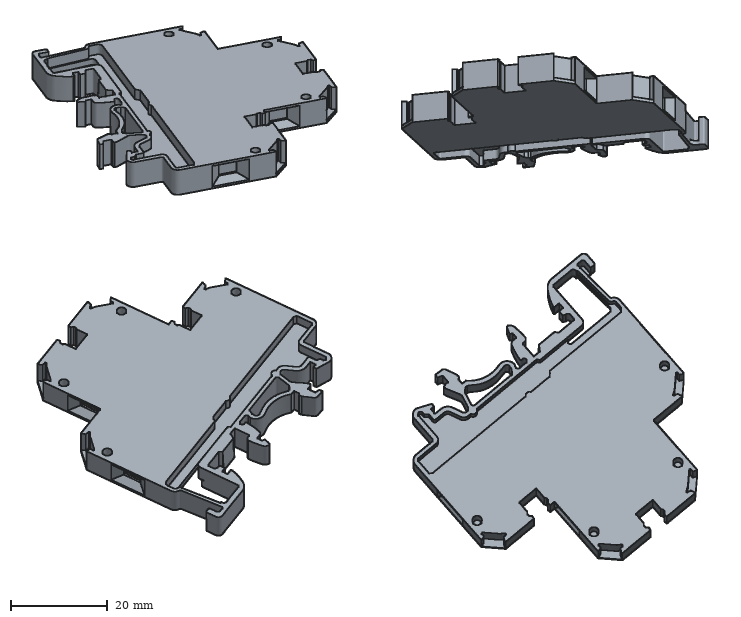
import cadquery as cq

LENGTH = 56.0
HEIGHT = 54.0
THICKNESS = 5.95

BODY_LEFT = 1.1
BODY_RIGHT = LENGTH
BODY_TOP = 36.55
TOWER_LEFT = 12.35
TOWER_RIGHT = 39.2
CORNER_CUT = 3.55

SOFFIT = 10.2
RIGHT_SOFFIT = 10.4

NOTCH_WIDTH = 4.6
NOTCH_DEPTH = 4.6
NOTCH_LIP = 0.1
NOTCH_LIP_TAPER = 0.1
NOTCH_LIP_BOTTOM = -0.7
NOTCH_GROOVE = 0.3
GROOVE_TOP = -1.05
GROOVE_BOTTOM = -1.65
GROOVE_RAMP_END = -2.0
TOWER_NOTCH_X = 25.8
BODY_NOTCH_X = 42.55

SLOT_FLOOR = 0.72
SLOT_DEPTH = 1.67
SLOT_LAND = 0.1
SLOT_HALF_MOUTH = CORNER_CUT / 2**0.5 - SLOT_LAND
SLOT_PROFILE = [
    (SLOT_HALF_MOUTH, 0),
    (2.0, -0.95),
    (2.5, -1.68),
    (2.25, -1.9),
    (1.25, -SLOT_DEPTH),
    (-2.45, -SLOT_DEPTH),
    (-2.6, -1.4),
    (-2.05, -0.9),
    (-SLOT_HALF_MOUTH, 0),
]

HOLE_DIAMETER = 2.0
HOLE_FLOOR_DIAMETER = 1.7
HOLE_DEPTH = 3.0
HOLE_INSET = 2.05
HOLE_DROP = 7.3

FUNNEL_DROP = 13.55
FUNNEL_WIDTH = 8.1
FUNNEL_BOTTOM = 0.5
FUNNEL_TOP = 5.4
FUNNEL_DEPTH = 1.65
THROAT_WIDTH = 4.0
THROAT_BOTTOM = 1.75
THROAT_TOP = 5.0
THROAT_DEPTH = 0.5

RECESS_DEPTH = 2.38
WEB_THICKNESS = 1.4
WEB_TOP = THICKNESS - RECESS_DEPTH
WEB_BOTTOM = WEB_TOP - WEB_THICKNESS

LEG_TOP = (2.3, 10.75)
LEG_BASE = (2.92, 1.4)
LEG_FILLET_Y = 4.63
LEG_LEAN = (LEG_TOP[0] - LEG_BASE[0]) / (LEG_TOP[1] - LEG_BASE[1])
LEG_FILLET_TOP = (LEG_BASE[0] + LEG_LEAN * (LEG_FILLET_Y - LEG_BASE[1]), LEG_FILLET_Y)

WINDOW_BOTTOM = 1.25
WINDOW_RIGHT = 9.67
WINDOW_CORNER = 1.0
RIM_TOP = 11.65
RIM_END = 21.95
RIM_STEP = 0.8

HOOK_FLOOR = 0.9
PAD_LEFT = 15.75
PAD_RIGHT = 19.95
PAD_TOP_Y = 9.0
PAD_DRAFT = 0.28


def trace(start, segments):
    """Closed wire: a plain point is a line end, a (middle, end) pair is an arc."""
    path = cq.Workplane("XY").moveTo(*start)
    for first, second in segments:
        if isinstance(first, tuple):
            path = path.threePointArc(first, second)
        else:
            path = path.lineTo(first, second)
    return path.close()


def prism(start, segments, bottom, top):
    """Upright solid over a traced outline."""
    return trace(start, segments).extrude(top - bottom).translate((0, 0, bottom))


def housing():
    """Full-thickness profile of housing, feet and spring clip."""
    leg_and_hook = [
        (BODY_LEFT, 12.6),
        ((1.35, 11.75), (2.05, 11.13)),
        ((2.2, 11.0), LEG_TOP),
        LEG_FILLET_TOP,
        ((2.35, 3.8), (1.7, 3.45)),
        (0.35, 3.45),
        ((0.1, 3.35), (0.0, 3.1)),
        (0.0, 1.0),
        ((0.3, 0.3), (1.0, 0.0)),
        (9.1, 0.0),
    ]
    left_jaw = [
        ((10.2, 0.4), (10.95, 1.2)),
        ((11.8, 2.75), (12.45, 4.6)),
        (12.4, 5.0),
        (11.1, 5.0),
        (11.1, 6.27),
        (12.2, 6.27),
        (12.2, 7.45),
        (11.55, 7.7),
        ((11.1, 7.85), (10.9, 8.2)),
        (10.9, 9.4),
        ((10.98, 9.6), (11.2, 9.68)),
        (15.2, 9.68),
        (PAD_LEFT, PAD_TOP_Y),
        (PAD_RIGHT, PAD_TOP_Y),
        (20.7, SOFFIT),
    ]
    centre_finger = [
        (22.4, SOFFIT),
        (22.4, 6.65),
        (21.85, 6.6),
        ((21.35, 6.45), (21.1, 6.1)),
        (21.1, 5.0),
        (21.3, 3.3),
        ((21.6, 2.3), (22.2, 1.75)),
        (22.55, 1.75),
        (23.1, 3.3),
        (22.55, 3.65),
        (22.55, 4.85),
        (23.55, 4.85),
        ((24.1, 5.1), (24.35, 5.6)),
        ((24.8, 7.3), (25.03, 8.95)),
        ((24.98, 9.08), (24.85, 9.13)),
        (24.5, 9.13),
        ((24.0, 9.66), (24.5, SOFFIT)),
    ]
    spring = [
        (26.2, SOFFIT),
        ((26.6, 10.0), (26.75, 9.6)),
        (26.5, 8.95),
        ((27.1, 7.5), (29.2, 7.0)),
        ((33.3, 6.95), (36.4, 5.05)),
    ]
    right_finger = [
        (37.4, 5.05),
        (37.4, 3.75),
        (37.0, 3.6),
        (37.0, 2.95),
        (38.05, 0.5),
        ((38.35, 0.2), (38.75, 0.1)),
        (40.45, 0.0),
        (40.45, 0.75),
        (39.4, 1.15),
        (39.4, 2.9),
        (40.2, 2.9),
        (40.8, 3.1),
        (40.65, 3.75),
        (39.3, 6.4),
        ((39.15, 6.9), (39.2, 7.4)),
        (39.75, 9.6),
    ]
    right_foot = [
        ((40.6, SOFFIT), (41.4, 9.5)),
        (42.27, 7.53),
        ((43.0, 6.7), (44.3, 6.3)),
        (45.85, 6.3),
        (45.85, 5.0),
        (45.0, 5.0),
        (44.95, 4.25),
        (47.65, 3.1),
        ((49.1, 3.15), (49.75, 4.15)),
        (49.75, 10.1),
        ((49.85, 10.3), (50.05, RIGHT_SOFFIT)),
        (54.5, RIGHT_SOFFIT),
        ((55.56, 10.84), (BODY_RIGHT, 11.9)),
    ]
    stepped_top = [
        (BODY_RIGHT, BODY_TOP - CORNER_CUT),
        (BODY_RIGHT - CORNER_CUT, BODY_TOP),
        (TOWER_RIGHT, BODY_TOP),
        (TOWER_RIGHT, HEIGHT - CORNER_CUT),
        (TOWER_RIGHT - CORNER_CUT, HEIGHT),
        (TOWER_LEFT + CORNER_CUT, HEIGHT),
        (TOWER_LEFT, HEIGHT - CORNER_CUT),
        (TOWER_LEFT, BODY_TOP),
        (BODY_LEFT + CORNER_CUT, BODY_TOP),
    ]
    outline = leg_and_hook + left_jaw + centre_finger + spring
    outline += right_finger + right_foot + stepped_top
    return prism((BODY_LEFT, BODY_TOP - CORNER_CUT), outline, 0, THICKNESS)


def spring_window():
    """Through opening between the housing and the bowed spring."""
    outline = [
        (27.65, 9.35),
        (27.55, 8.4),
        ((27.85, 7.95), (28.6, 7.9)),
        (29.3, 8.0),
        ((33.2, 8.05), (36.25, 6.45)),
        (36.9, 6.1),
        (37.5, 6.1),
        (38.15, 6.75),
        (38.85, 9.6),
        ((38.75, 10.0), (38.3, SOFFIT)),
    ]
    return prism((28.2, SOFFIT), outline, 0, THICKNESS)


def rim_corner(rim_y):
    """Rounded corner from the upright jaw wall onto a rim at the given height."""
    setback = WINDOW_CORNER * (1 - 0.5**0.5)
    middle = (WINDOW_RIGHT + setback, rim_y - setback)
    return middle, (WINDOW_RIGHT + WINDOW_CORNER, rim_y)


def leg_window():
    """Through opening behind the flexible leg, with a tongue running under the web."""
    outline = [
        ((3.5, 12.55), (3.28, 12.0)),
        (4.0, 2.0),
        ((4.15, 1.45), (4.6, WINDOW_BOTTOM)),
        (9.4, WINDOW_BOTTOM),
        ((9.59, 1.33), (WINDOW_RIGHT, 1.52)),
        (WINDOW_RIGHT, RIM_TOP - WINDOW_CORNER),
        rim_corner(RIM_TOP),
        (14.25, RIM_TOP),
        ((14.75, 12.2), (14.25, 12.75)),
    ]
    return prism((4.0, 12.75), outline, 0, THICKNESS)


def rim_step():
    """Lowered part of the jaw rim, below the web."""
    step_y = RIM_TOP - RIM_STEP
    outline = [
        rim_corner(step_y),
        (RIM_END, step_y),
        (RIM_END, RIM_TOP),
        (WINDOW_RIGHT, RIM_TOP),
    ]
    return prism((WINDOW_RIGHT, step_y - WINDOW_CORNER), outline, 0, WEB_BOTTOM)


def face_recess(bottom, top):
    """Long recess along the foot of the housing, reaching down the leg and the right foot."""
    outline = [
        ((2.15, 14.35), (1.95, 13.6)),
        (1.95, 12.4),
        ((2.05, 12.05), (2.35, 11.85)),
        ((2.8, 11.55), (2.98, 11.0)),
        (3.7, 2.15),
        (5.0, 2.15),
        (5.0, RIM_TOP),
        (RIM_END, RIM_TOP),
        (22.3, 11.1),
        (38.6, 11.1),
        ((39.4, 11.65), (40.2, 11.1)),
        (40.9, 11.1),
        ((41.75, 10.8), (42.3, 10.1)),
        (43.15, 8.15),
        ((43.55, 7.6), (44.15, 7.35)),
        (46.45, 7.35),
        ((46.8, 7.2), (46.9, 6.9)),
        (46.9, 5.55),
        (47.65, 4.95),
        (47.65, 4.3),
        ((48.17, 3.9), (48.7, 4.3)),
        (48.7, 10.2),
        ((49.0, 11.0), (49.8, 11.3)),
        (54.5, 11.3),
        ((54.9, 11.4), (55.0, 11.7)),
        (55.0, 15.2),
        ((54.7, 15.4), (54.35, 15.6)),
        (29.2, 15.6),
        ((28.45, 15.2), (27.75, 15.6)),
        (22.65, 15.6),
        (21.85, 14.7),
    ]
    return prism((2.75, 14.7), outline, bottom, top)


def hook_slot():
    """Slot between hook and leg, leaving a thin floor."""
    outline = [
        (1.25, 1.7),
        ((1.35, 1.25), (1.75, 1.07)),
        (2.6, 1.07),
        ((2.85, 1.15), LEG_BASE),
        LEG_FILLET_TOP,
        (1.25, LEG_FILLET_Y),
    ]
    return prism((1.25, 3.0), outline, HOOK_FLOOR, THICKNESS)


def drafted_pad():
    """Wedge on the pad of the left jaw, thickening towards the bottom face."""
    profile = [(PAD_TOP_Y, 0), (PAD_TOP_Y - PAD_DRAFT, 0), (PAD_TOP_Y, THICKNESS)]
    wedge = cq.Workplane("YZ").polyline(profile).close().extrude(PAD_RIGHT - PAD_LEFT)
    return wedge.translate((PAD_LEFT, 0, 0))


def marker_notch(centre_x, top_y):
    """Square notch with a snap groove below a small lip on either side."""
    half = NOTCH_WIDTH / 2
    right_side = [
        (half - NOTCH_LIP, 0),
        (half - NOTCH_LIP - NOTCH_LIP_TAPER, NOTCH_LIP_BOTTOM),
        (half + NOTCH_GROOVE, GROOVE_TOP),
        (half + NOTCH_GROOVE, GROOVE_BOTTOM),
        (half, GROOVE_RAMP_END),
        (half, -NOTCH_DEPTH),
    ]
    left_side = [(-x, y) for x, y in reversed(right_side)]
    notch = cq.Workplane("XY").polyline(right_side + left_side).close().extrude(THICKNESS)
    return notch.translate((centre_x, top_y, 0))


def label_slot(corner_x, top_y, inward):
    """Dovetail slot in a cut corner; inward is +1 on a left corner and -1 on a right one."""
    profile = [(inward * along, depth) for along, depth in SLOT_PROFILE]
    slot = cq.Workplane("XY").polyline(profile).close()
    slot = slot.extrude(THICKNESS - SLOT_FLOOR)
    slot = slot.rotate((0, 0, 0), (0, 0, 1), 45 * inward)
    half_cut = CORNER_CUT / 2
    return slot.translate((corner_x + inward * half_cut, top_y - half_cut, SLOT_FLOOR))


def test_hole(wall_x, top_y, inward):
    """Tapered blind hole beside a side wall."""
    hole = cq.Workplane("XY").circle(HOLE_DIAMETER / 2)
    hole = hole.workplane(offset=-HOLE_DEPTH).circle(HOLE_FLOOR_DIAMETER / 2).loft(ruled=True)
    return hole.translate((wall_x + inward * HOLE_INSET, top_y - HOLE_DROP, THICKNESS))


def wire_funnel(wall_x, top_y, inward):
    """Rectangular funnel with a short straight throat, entering from a side wall."""
    mouth_z = (FUNNEL_BOTTOM + FUNNEL_TOP) / 2
    throat_z = (THROAT_BOTTOM + THROAT_TOP) / 2
    throat_height = THROAT_TOP - THROAT_BOTTOM
    funnel = (
        cq.Workplane("YZ")
        .center(0, mouth_z)
        .rect(FUNNEL_WIDTH, FUNNEL_TOP - FUNNEL_BOTTOM)
        .workplane(offset=FUNNEL_DEPTH)
        .center(0, throat_z - mouth_z)
        .rect(THROAT_WIDTH, throat_height)
        .loft(ruled=True)
    )
    throat = cq.Workplane("YZ").center(0, throat_z).rect(THROAT_WIDTH, throat_height)
    funnel = funnel.union(throat.extrude(FUNNEL_DEPTH + THROAT_DEPTH))
    if inward < 0:
        funnel = funnel.mirror("YZ")
    return funnel.translate((wall_x, top_y - FUNNEL_DROP, 0))


result = housing().union(drafted_pad())
result = result.cut(spring_window()).cut(leg_window())
result = result.cut(face_recess(WEB_TOP, THICKNESS)).cut(face_recess(0, WEB_BOTTOM))
result = result.cut(rim_step()).cut(hook_slot())
result = result.cut(marker_notch(TOWER_NOTCH_X, HEIGHT))
result = result.cut(marker_notch(BODY_NOTCH_X, BODY_TOP))

side_walls = [
    (BODY_LEFT, BODY_TOP, 1),
    (BODY_RIGHT, BODY_TOP, -1),
    (TOWER_LEFT, HEIGHT, 1),
    (TOWER_RIGHT, HEIGHT, -1),
]
for wall in side_walls:
    for feature in (label_slot, test_hole, wire_funnel):
        result = result.cut(feature(*wall))